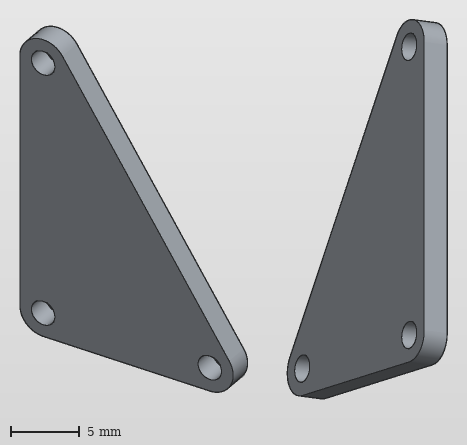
import cadquery as cq
import math

thickness = 2.0
corner_radius = 2.0
hole_diameter = 2.0
hole_spacing_x = 14.26
hole_spacing_z = 21.39

corner_hole = (0.0, 0.0)
side_hole = (hole_spacing_x, 0.0)
top_hole = (0.0, hole_spacing_z)

left_angle = math.pi
bottom_angle = -math.pi / 2
slope_angle = math.atan2(hole_spacing_x, hole_spacing_z)


def rim_point(center, angle):
    """Point on the corner round about center, in the given direction."""
    x = center[0] + corner_radius * math.cos(angle)
    z = center[1] + corner_radius * math.sin(angle)
    return (x, z)


def make_plate():
    """Triangular plate with rounded corners, lying in XZ, with its front face at Y = 0."""
    corner_mid_angle = (left_angle + bottom_angle + 2 * math.pi) / 2
    side_mid_angle = (bottom_angle + slope_angle) / 2
    top_mid_angle = (slope_angle + left_angle) / 2
    outline = (
        cq.Workplane("XZ")
        .moveTo(*rim_point(corner_hole, bottom_angle))
        .lineTo(*rim_point(side_hole, bottom_angle))
        .threePointArc(rim_point(side_hole, side_mid_angle), rim_point(side_hole, slope_angle))
        .lineTo(*rim_point(top_hole, slope_angle))
        .threePointArc(rim_point(top_hole, top_mid_angle), rim_point(top_hole, left_angle))
        .lineTo(*rim_point(corner_hole, left_angle))
        .threePointArc(rim_point(corner_hole, corner_mid_angle), rim_point(corner_hole, bottom_angle))
        .close()
    )
    return outline.extrude(-thickness)


def make_holes():
    """Cylinders for the three through holes."""
    centers = [corner_hole, side_hole, top_hole]
    return cq.Workplane("XZ").pushPoints(centers).circle(hole_diameter / 2).extrude(-thickness)


result = make_plate().cut(make_holes())